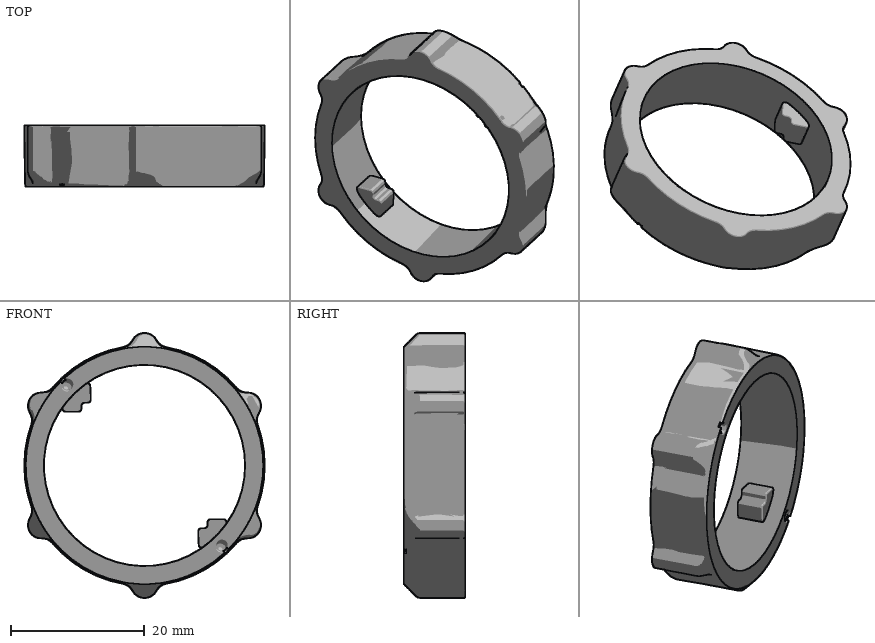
import cadquery as cq
import math

ring_width = 9.2
bore_radius = 15.0
ring_radius = 17.98
straight_band = 1.0
draft_angle = 0.9
front_y = -ring_width / 2
back_y = ring_width / 2
band_y = back_y - straight_band
ring_front_radius = ring_radius - (band_y - front_y) * math.tan(math.radians(draft_angle))

lobe_count = 6
lobe_tip_radius = 19.8
lobe_radius = 2.0
lobe_blend_radius = 2.0
lobe_first_angle = 90.0
lobe_centre_radius = lobe_tip_radius - lobe_radius

back_edge_fillet = 0.25
front_edge_bevel = 0.13
front_face_radius = ring_front_radius - front_edge_bevel
lobe_bevel_fillet = 0.9

key_length = 4.1
key_corner_radius = 0.5
key_edge_fillet = 0.25
key_top_z = -8.0
key_step_z = -9.36
key_bottom_z = -12.55
key_left_x = 7.97
key_left_bottom_x = 8.1
key_step_x = 9.4
key_right_x = 12.5
key_root = 11.2

dimple_angle = -46.2
dimple_centre_radius = 16.65
dimple_radius = 0.8
dimple_mouth_fillet = 0.25
notch_width = 0.75
notch_depth = 0.38

selection_margin = 0.05


def revolve_about_ring_axis(points):
    """Solid of revolution about Y from (radius, y) points."""
    return cq.Workplane("XY").polyline(points).close().revolve(360, (0, 0, 0), (0, 1, 0))


def lies_on_lobe_root(edge):
    """True for the edges where a lobe cylinder leaves the ring."""
    point = edge.positionAt(0.5)
    radius = math.hypot(point.x, point.z)
    along_axis = edge.BoundingBox().ylen > straight_band / 2
    inner_limit = ring_front_radius - selection_margin
    outer_limit = ring_radius + selection_margin
    return along_axis and inner_limit < radius < outer_limit


def make_body():
    """Solid drafted disc with six blended lobes, before boring."""
    body = revolve_about_ring_axis([
        (0, front_y),
        (ring_front_radius, front_y),
        (ring_radius, band_y),
        (ring_radius, back_y),
        (0, back_y),
    ])
    for index in range(lobe_count):
        angle = math.radians(lobe_first_angle + index * 360 / lobe_count)
        lobe = (
            cq.Workplane("XZ", origin=(0, back_y, 0))
            .center(lobe_centre_radius * math.cos(angle), lobe_centre_radius * math.sin(angle))
            .circle(lobe_radius)
            .extrude(ring_width)
        )
        body = body.union(lobe)
    roots = [edge for edge in body.edges().vals() if lies_on_lobe_root(edge)]
    return body.newObject(roots).fillet(lobe_blend_radius)


def bevel_front(body):
    """Trim the front with a 45 degree cone and round the rim where it meets the outside."""
    bevel_height = lobe_tip_radius - front_face_radius + lobe_radius
    cone = revolve_about_ring_axis([
        (0, front_y),
        (front_face_radius, front_y),
        (front_face_radius + bevel_height, front_y + bevel_height),
        (front_face_radius + bevel_height, back_y),
        (0, back_y),
    ])
    trimmed = body.intersect(cone)
    rim = []
    for edge in trimmed.edges().vals():
        box = edge.BoundingBox()
        behind_front_face = box.ymax > front_y + selection_margin
        ahead_of_middle = box.ymax < 0
        if behind_front_face and ahead_of_middle:
            rim.append(edge)
    return trimmed.newObject(rim).fillet(lobe_bevel_fillet)


def bore_through(body):
    """Cut the plain bore along the ring axis."""
    bore = cq.Workplane("XZ", origin=(0, back_y, 0)).circle(bore_radius).extrude(ring_width)
    return body.cut(bore)


def make_key():
    """Stepped key at the lower right; its root is buried in the ring wall."""
    exposed_zone = cq.selectors.BoxSelector(
        (0, -key_length, -bore_radius),
        (key_right_x + key_corner_radius, key_length, 0),
    )
    key = (
        cq.Workplane("XZ", origin=(0, key_length / 2, 0))
        .polyline([
            (key_step_x, key_top_z),
            (key_right_x, key_top_z),
            (key_root, -key_root),
            (key_left_bottom_x, key_bottom_z),
            (key_left_x, key_step_z),
            (key_step_x, key_step_z),
        ])
        .close()
        .extrude(key_length)
        .edges("|Y")
        .edges(exposed_zone)
        .fillet(key_corner_radius)
    )
    return key.faces("<Y or >Y").edges().fillet(key_edge_fillet)


def make_dimple():
    """Round-bottomed dimple with a flared mouth and a notch out to the rim."""
    seat_y = front_y + dimple_mouth_fillet
    mouth_radius = dimple_radius + dimple_mouth_fillet
    diagonal = math.sqrt(0.5)
    flare = dimple_mouth_fillet * (1 - diagonal)
    bottom = dimple_radius * diagonal
    pit = (
        cq.Workplane("XY")
        .moveTo(0, front_y)
        .lineTo(mouth_radius, front_y)
        .threePointArc((dimple_radius + flare, front_y + flare), (dimple_radius, seat_y))
        .threePointArc((bottom, seat_y + bottom), (0, seat_y + dimple_radius))
        .close()
        .revolve(360, (0, 0, 0), (0, 1, 0))
        .translate((dimple_centre_radius, 0, 0))
    )
    notch_length = ring_radius - dimple_centre_radius
    notch = (
        cq.Workplane("XY")
        .box(notch_length, notch_depth, notch_width, centered=(False, False, True))
        .translate((dimple_centre_radius, front_y, 0))
    )
    return pit.union(notch).rotate((0, 0, 0), (0, 1, 0), -dimple_angle)


def half_turn(part):
    """Copy of a part turned to the opposite side of the ring."""
    return part.rotate((0, 0, 0), (0, 1, 0), 180)


ring = bore_through(bevel_front(make_body()).faces(">Y").edges().fillet(back_edge_fillet))

key = make_key()
ring = ring.union(key).union(half_turn(key))

dimple = make_dimple()
result = ring.cut(dimple).cut(half_turn(dimple))